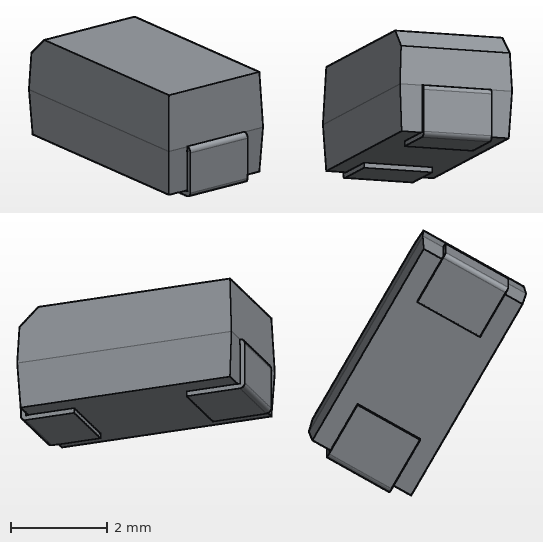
import cadquery as cq

overall_length = 5.00
lead_width = 1.50
lead_thickness = 0.107
bend_radius = lead_thickness
left_foot_length = 1.19
right_foot_length = 1.30

body_length = overall_length - 2 * lead_thickness
body_width = 2.475
taper_inset = 0.055
body_bottom = lead_thickness
parting_height = 1.10
body_top = 2.31
chamfer_size = 0.40

arm_overrun = 2 * taper_inset
end_length = body_length - 2 * taper_inset
end_width = body_width - 2 * taper_inset


def body_half(end_height):
    """Tapered half of the body, from the parting plane to its end face."""
    return (
        cq.Workplane("XY", origin=(0, 0, parting_height))
        .rect(body_length, body_width)
        .workplane(offset=end_height - parting_height)
        .rect(end_length, end_width)
        .loft(ruled=True)
    )


def polarity_cutter():
    """Triangular prism that bevels the top edge at the -X end."""
    edge_x = -end_length / 2
    slope_start_x = edge_x + chamfer_size
    wall_x = edge_x - chamfer_size * taper_inset / (body_top - parting_height)
    outer_x = 2 * wall_x - slope_start_x
    outer_z = body_top - 2 * chamfer_size
    return (
        cq.Workplane("XZ")
        .polyline([(slope_start_x, body_top), (outer_x, outer_z), (outer_x, body_top)])
        .close()
        .extrude(body_width, both=True)
    )


def make_body():
    return body_half(body_top).union(body_half(body_bottom)).cut(polarity_cutter())


def make_lead(side, foot_length, body):
    """C-shaped lead at the end given by side (-1 or +1), butting against the tapered wall."""
    outer_x = side * overall_length / 2
    inner_x = outer_x - side * lead_thickness
    foot_x = outer_x - side * foot_length
    bend_x = outer_x - side * bend_radius

    arm_underside = parting_height - lead_thickness
    arm_end_x = inner_x - side * arm_overrun

    bend_offset = bend_radius * 0.5 ** 0.5
    lower_bend_mid = (bend_x + side * bend_offset, bend_radius - bend_offset)
    upper_bend_mid = (bend_x + side * bend_offset, parting_height - bend_radius + bend_offset)

    return (
        cq.Workplane("XZ")
        .moveTo(foot_x, 0)
        .lineTo(bend_x, 0)
        .threePointArc(lower_bend_mid, (outer_x, bend_radius))
        .lineTo(outer_x, parting_height - bend_radius)
        .threePointArc(upper_bend_mid, (bend_x, parting_height))
        .lineTo(arm_end_x, parting_height)
        .lineTo(arm_end_x, arm_underside)
        .lineTo(inner_x, arm_underside)
        .lineTo(inner_x, lead_thickness)
        .lineTo(foot_x, lead_thickness)
        .close()
        .extrude(lead_width / 2, both=True)
        .cut(body)
    )


body = make_body()
leads = [make_lead(-1, left_foot_length, body), make_lead(1, right_foot_length, body)]

result = cq.Compound.makeCompound([body.val(), *[lead.val() for lead in leads]])